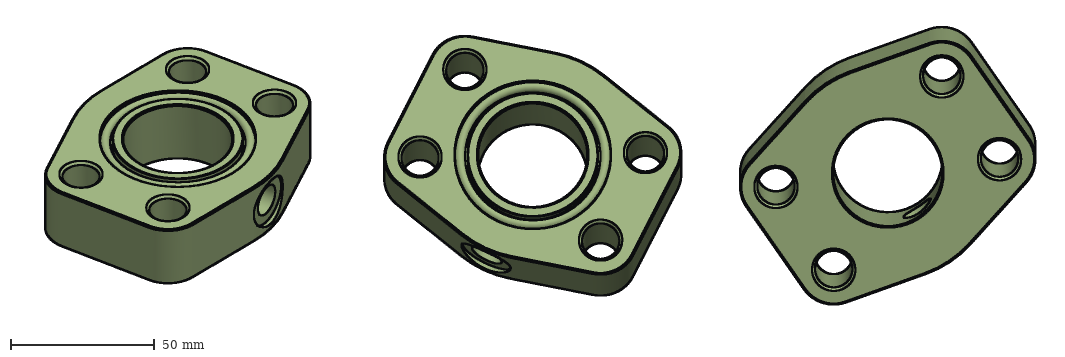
import cadquery as cq
import math

LENGTH = 95.0
WIDTH = 76.9
THICKNESS = 24.0
EDGE_CHAMFER = 0.5

BOLT_X = 17.9
BOLT_Y = 35.0
BOLT_DIAMETER = 13.0
BOLT_CHAMFER = 1.0

BORE_DIAMETER = 38.0
BORE_CHAMFER = 0.5

GROOVE_INNER_DIAMETER = 45.4
GROOVE_OUTER_DIAMETER = 54.2
GROOVE_CHAMFER = 0.2
RING_SECTION = 3.5
GROOVE_DEPTH = RING_SECTION

PORT_DIAMETER = 11.4
PORT_RECESS_DIAMETER = 19.0
PORT_RECESS_DEPTH = 1.9

SIDE_RADIUS = WIDTH / 2
CORNER_RADIUS = LENGTH / 2 - BOLT_Y
MID_HEIGHT = THICKNESS / 2

TANGENT_ANGLE = math.atan2(BOLT_Y, BOLT_X) - math.acos(
    (SIDE_RADIUS - CORNER_RADIUS) / math.hypot(BOLT_X, BOLT_Y)
)


def on_side(angle):
    """Point on the side arc, which is centred on the bore axis."""
    return SIDE_RADIUS * math.cos(angle), SIDE_RADIUS * math.sin(angle)


def on_corner(angle):
    """Point on the rounded corner in the +X +Y quadrant."""
    return (
        BOLT_X + CORNER_RADIUS * math.cos(angle),
        BOLT_Y + CORNER_RADIUS * math.sin(angle),
    )


def flip_x(point):
    return -point[0], point[1]


def flip_y(point):
    return point[0], -point[1]


def flip_both(point):
    return -point[0], -point[1]


def make_plate():
    side_end = on_side(TANGENT_ANGLE)
    corner_start = on_corner(TANGENT_ANGLE)
    corner_middle = on_corner((TANGENT_ANGLE + math.pi / 2) / 2)
    corner_end = on_corner(math.pi / 2)
    return (
        cq.Workplane("XY")
        .moveTo(*flip_y(side_end))
        .threePointArc((SIDE_RADIUS, 0), side_end)
        .lineTo(*corner_start)
        .threePointArc(corner_middle, corner_end)
        .lineTo(*flip_x(corner_end))
        .threePointArc(flip_x(corner_middle), flip_x(corner_start))
        .lineTo(*flip_x(side_end))
        .threePointArc((-SIDE_RADIUS, 0), flip_both(side_end))
        .lineTo(*flip_both(corner_start))
        .threePointArc(flip_both(corner_middle), flip_both(corner_end))
        .lineTo(*flip_y(corner_end))
        .threePointArc(flip_y(corner_middle), flip_y(corner_start))
        .close()
        .extrude(THICKNESS)
        .faces("<Z or >Z")
        .edges()
        .chamfer(EDGE_CHAMFER)
    )


def make_hole_cutter(diameter, chamfer):
    """Through hole on the Z axis with a 45 degree chamfer at each end."""
    radius = diameter / 2
    return (
        cq.Workplane("XZ")
        .moveTo(0, 0)
        .lineTo(radius + chamfer, 0)
        .lineTo(radius, chamfer)
        .lineTo(radius, THICKNESS - chamfer)
        .lineTo(radius + chamfer, THICKNESS)
        .lineTo(0, THICKNESS)
        .close()
        .revolve(360, (0, 0), (0, 1))
    )


def make_groove_cutter():
    """Rectangular ring groove that widens at its two top edges."""
    inner_radius = GROOVE_INNER_DIAMETER / 2
    outer_radius = GROOVE_OUTER_DIAMETER / 2
    floor = THICKNESS - GROOVE_DEPTH
    chamfer_start = THICKNESS - GROOVE_CHAMFER
    return (
        cq.Workplane("XZ")
        .moveTo(inner_radius, floor)
        .lineTo(outer_radius, floor)
        .lineTo(outer_radius, chamfer_start)
        .lineTo(outer_radius + GROOVE_CHAMFER, THICKNESS)
        .lineTo(inner_radius - GROOVE_CHAMFER, THICKNESS)
        .lineTo(inner_radius, chamfer_start)
        .close()
        .revolve(360, (0, 0), (0, 1))
    )


def make_port_cutter():
    axis_start = cq.Workplane("YZ", origin=(0, 0, MID_HEIGHT))
    passage = axis_start.circle(PORT_DIAMETER / 2).extrude(SIDE_RADIUS)
    recess = (
        axis_start.workplane(offset=SIDE_RADIUS - PORT_RECESS_DEPTH)
        .circle(PORT_RECESS_DIAMETER / 2)
        .extrude(PORT_RECESS_DEPTH)
    )
    return passage.union(recess)


def make_flange():
    flange = make_plate().cut(make_hole_cutter(BORE_DIAMETER, BORE_CHAMFER))
    bolt_cutter = make_hole_cutter(BOLT_DIAMETER, BOLT_CHAMFER)
    for x in (-BOLT_X, BOLT_X):
        for y in (-BOLT_Y, BOLT_Y):
            flange = flange.cut(bolt_cutter.translate((x, y, 0)))
    return flange.cut(make_groove_cutter()).cut(make_port_cutter())


def make_o_ring():
    section_radius = RING_SECTION / 2
    centre_radius = GROOVE_OUTER_DIAMETER / 2 - section_radius
    return (
        cq.Workplane("XZ")
        .center(centre_radius, THICKNESS - section_radius)
        .circle(section_radius)
        .revolve(360, (-centre_radius, 0), (-centre_radius, 1))
    )


flange = make_flange()
o_ring = make_o_ring()

result = cq.Compound.makeCompound([flange.val(), o_ring.val()])